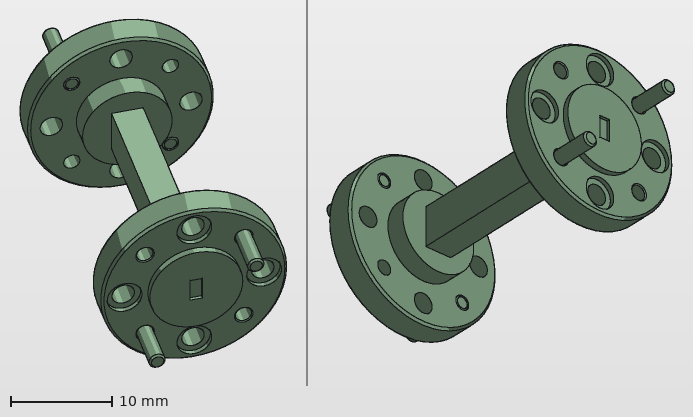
import cadquery as cq

OVERALL_LENGTH = 39.5
HALF_LENGTH = OVERALL_LENGTH / 2

FLANGE_DIAMETER = 19.05
FLANGE_THICKNESS = 3.3
FLANGE_CHAMFER = 0.255
PIN_PROJECTION = 4.62
FLANGE_OUTER_X = HALF_LENGTH - PIN_PROJECTION
FLANGE_INNER_X = FLANGE_OUTER_X - FLANGE_THICKNESS

BOSS_DIAMETER = 9.5
BOSS_HEIGHT = 0.7
BOSS_FACE_X = FLANGE_OUTER_X + BOSS_HEIGHT
HUB_DIAMETER = 9.15
HUB_LENGTH = 2.3
HUB_FACE_X = FLANGE_INNER_X - HUB_LENGTH

TUBE_WIDTH = 3.25
TUBE_HEIGHT = 4.62

OPENING_WIDTH = 1.25
OPENING_HEIGHT = 2.53
OPENING_DEPTH = 0.35

HOLE_CIRCLE_RADIUS = 7.15
HOLE_SPACING_ANGLE = 90
SCREW_HOLE_DIAMETER = 2.3
COUNTERBORE_DIAMETER = 3.55
COUNTERBORE_DEPTH = 0.5

PIN_DIAMETER = 1.65
PIN_LENGTH = FLANGE_THICKNESS + PIN_PROJECTION
PIN_CHAMFER = 0.2

DOWEL_HOLE_DIAMETER = PIN_DIAMETER
DOWEL_HOLE_CHAMFER = 0.1

FIRST_SCREW_ANGLE = 0
RISING_DIAGONAL = (45, 225)
FALLING_DIAGONAL = (135, 315)


def rod(diameter, start_x, length):
    """Cylinder on the X axis, running toward +X from start_x."""
    return cq.Workplane("YZ", origin=(start_x, 0, 0)).circle(diameter / 2).extrude(length)


def on_hole_circle(shape, angle):
    """Shape moved from the X axis to its place on the hole circle."""
    return shape.translate((0, HOLE_CIRCLE_RADIUS, 0)).rotate((0, 0, 0), (1, 0, 0), angle)


def flange_hole(diameter):
    """Cutter on the X axis that passes through the flange thickness."""
    return rod(diameter, FLANGE_INNER_X, FLANGE_THICKNESS)


def screw_hole():
    """Cutter for a through hole with a counterbore in the outer face."""
    counterbore = rod(COUNTERBORE_DIAMETER, FLANGE_OUTER_X - COUNTERBORE_DEPTH, COUNTERBORE_DEPTH)
    return flange_hole(SCREW_HOLE_DIAMETER).union(counterbore)


def dowel_hole():
    """Cutter for a through hole with a chamfered mouth in the outer face."""
    hole_radius = DOWEL_HOLE_DIAMETER / 2
    mouth = cq.Solid.makeCone(
        hole_radius,
        hole_radius + DOWEL_HOLE_CHAMFER,
        DOWEL_HOLE_CHAMFER,
        pnt=cq.Vector(FLANGE_OUTER_X - DOWEL_HOLE_CHAMFER, 0, 0),
        dir=cq.Vector(1, 0, 0),
    )
    return flange_hole(DOWEL_HOLE_DIAMETER).union(cq.Workplane(mouth))


def make_flange_end():
    """The +X flange with its boss, hub and holes; its pins sit on the rising diagonal."""
    disc = rod(FLANGE_DIAMETER, FLANGE_INNER_X, FLANGE_THICKNESS)
    disc = disc.faces("<X or >X").chamfer(FLANGE_CHAMFER)
    boss = rod(BOSS_DIAMETER, FLANGE_OUTER_X, BOSS_HEIGHT)
    hub = rod(HUB_DIAMETER, HUB_FACE_X, HUB_LENGTH)
    end = disc.union(boss).union(hub)

    for angle in range(FIRST_SCREW_ANGLE, 360, HOLE_SPACING_ANGLE):
        end = end.cut(on_hole_circle(screw_hole(), angle))
    for angle in RISING_DIAGONAL + FALLING_DIAGONAL:
        end = end.cut(on_hole_circle(dowel_hole(), angle))

    opening = cq.Workplane("XY").box(OPENING_DEPTH, OPENING_WIDTH, OPENING_HEIGHT)
    return end.cut(opening.translate((BOSS_FACE_X - OPENING_DEPTH / 2, 0, 0)))


def opposite_end(shape):
    """Half turn about Z: the copy at -X, with its pins on the falling diagonal."""
    return shape.rotate((0, 0, 0), (0, 0, 1), 180)


def make_waveguide():
    """Tube with a flange at each end, as one body."""
    tube = cq.Workplane("XY").box(2 * HUB_FACE_X, TUBE_WIDTH, TUBE_HEIGHT)
    flange_end = make_flange_end()
    return tube.union(flange_end).union(opposite_end(flange_end))


def make_pin(angle):
    """Dowel pin of the +X flange, chamfered at both ends."""
    pin = rod(PIN_DIAMETER, FLANGE_INNER_X, PIN_LENGTH).faces("<X or >X").chamfer(PIN_CHAMFER)
    return on_hole_circle(pin, angle)


waveguide = make_waveguide()

pins = []
for pin_angle in RISING_DIAGONAL:
    pin = make_pin(pin_angle)
    pins.append(pin.val())
    pins.append(opposite_end(pin).val())

result = cq.Compound.makeCompound([waveguide.val(), *pins])